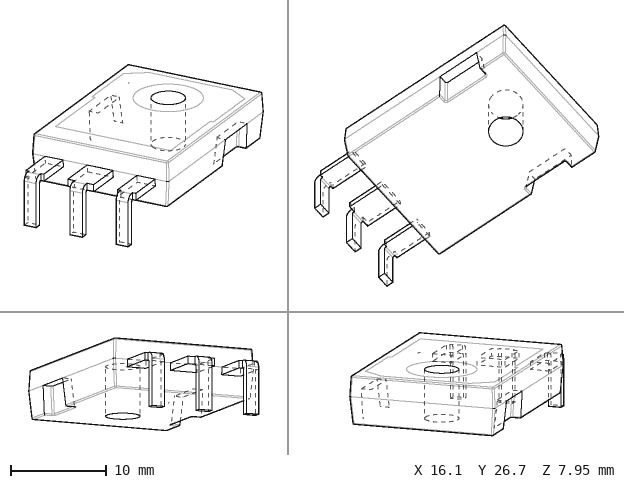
import cadquery as cq
import math


body_width = 16.13
body_length = 21.33
upper_height = 2.2
lower_height = 3.05
upper_draft = 3.0
lower_draft = 5.0
corner_fillet = 0.19
rim_fillet = 0.15
back_y = body_length / 2

hole_diameter = 3.6
ring_diameter = 7.35
hole_y = back_y - 6.13

notch_back_y = back_y - 3.73
notch_length = 4.83
notch_depth = 1.07
notch_fillet = 0.19

pad_back_y = back_y - 1.12
pad_step_y = back_y - 9.62
pad_front_y = back_y - 18.42
pad_wide_width = 14.35
pad_narrow_width = 13.62
pad_back_width = 9.86
pad_corner_length = 1.5
pad_thickness = 0.8

total_length = 26.65
lead_tip_y = back_y - total_length
lead_drop = 5.75
lead_thickness = 0.8
lead_pitch = 5.45
lead_root_embed = 1.33
shoulder_y = lead_tip_y + 1.05
bend_outer_radius = 0.75
bend_inner_radius = 0.19
outer_shoulder_width = 2.13
outer_pin_width = 1.4
middle_shoulder_width = 3.07
middle_pin_width = 1.5


def make_lower_half():
    """Tapered lower half with a notch in each long side."""
    lower = (
        cq.Workplane("XY")
        .rect(body_width, body_length)
        .extrude(-lower_height, taper=lower_draft)
        .edges("not(|X or |Y)")
        .fillet(corner_fillet)
    )
    for side in (-1, 1):
        lower = lower.cut(make_notch(side))
    return lower.faces("<Z").edges().fillet(rim_fillet)


def make_notch(side):
    """Notch cutter that widens downward, with rounded inner corners."""
    flare = lower_height * math.tan(math.radians(lower_draft))
    inner_x = side * (body_width / 2 - notch_depth)
    overhang = 1.33
    width = 2 * (notch_depth + overhang)
    center_x = inner_x + side * width / 2
    center_y = notch_back_y - notch_length / 2
    return (
        cq.Workplane("XY")
        .center(center_x, center_y)
        .rect(width, notch_length)
        .workplane(offset=-lower_height)
        .rect(width + 2 * flare, notch_length + 2 * flare)
        .loft(ruled=True)
        .edges("not(|X or |Y)")
        .fillet(notch_fillet)
    )


def make_upper_half():
    """Tapered upper half with rounded corners and top edges."""
    return (
        cq.Workplane("XY")
        .rect(body_width, body_length)
        .extrude(upper_height, taper=upper_draft)
        .edges("not(|X or |Y)")
        .fillet(corner_fillet)
        .faces(">Z")
        .edges()
        .fillet(rim_fillet)
    )


def make_lead(center_x, shoulder_width, pin_width):
    """Flat lead with a wide shoulder and a narrow pin bent downward."""
    root_y = back_y - body_length + lead_root_embed
    shoulder = (
        cq.Workplane("XY")
        .center(center_x, (root_y + shoulder_y) / 2)
        .rect(shoulder_width, root_y - shoulder_y)
        .extrude(-lead_thickness)
    )
    pin = (
        cq.Workplane("YZ")
        .moveTo(root_y, 0)
        .lineTo(lead_tip_y, 0)
        .lineTo(lead_tip_y, -lead_drop)
        .lineTo(lead_tip_y + lead_thickness, -lead_drop)
        .lineTo(lead_tip_y + lead_thickness, -lead_thickness)
        .lineTo(root_y, -lead_thickness)
        .close()
        .extrude(pin_width / 2, both=True)
        .translate((center_x, 0, 0))
    )
    outer_bend = cq.NearestToPointSelector((center_x, lead_tip_y, 0))
    inner_bend = cq.NearestToPointSelector((center_x, lead_tip_y + lead_thickness, -lead_thickness))
    pin = pin.edges("|X").edges(outer_bend).fillet(bend_outer_radius)
    pin = pin.edges("|X").edges(inner_bend).fillet(bend_inner_radius)
    return shoulder.union(pin)


def make_pad():
    """Stepped metal pad with cut back corners and a round opening for the ring."""
    right_side = [
        (pad_back_width / 2, pad_back_y),
        (pad_wide_width / 2, pad_back_y - pad_corner_length),
        (pad_wide_width / 2, pad_step_y),
        (pad_narrow_width / 2, pad_step_y),
        (pad_narrow_width / 2, pad_front_y),
    ]
    left_side = [(-x, y) for x, y in reversed(right_side)]
    pad_bottom = cq.Workplane("XY").workplane(offset=upper_height - pad_thickness)
    pad = pad_bottom.polyline(right_side + left_side).close().extrude(pad_thickness)
    opening = pad_bottom.center(0, hole_y).circle(ring_diameter / 2).extrude(pad_thickness)
    return pad.cut(opening)


body = make_upper_half().union(make_lower_half())
body = body.union(make_lead(0, middle_shoulder_width, middle_pin_width))
for side in (-1, 1):
    body = body.union(make_lead(side * lead_pitch, outer_shoulder_width, outer_pin_width))

hole = (
    cq.Workplane("XY")
    .workplane(offset=-lower_height)
    .center(0, hole_y)
    .circle(hole_diameter / 2)
    .extrude(lower_height + upper_height)
)
body = body.cut(hole)

pad = make_pad()
result = body.cut(pad).union(pad, clean=False)